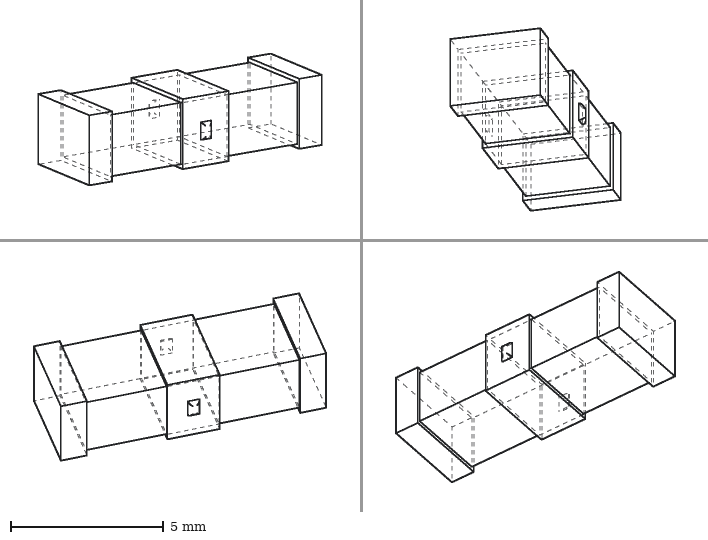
import cadquery as cq

total_length = 9.11
total_width = 3.4
outer_width = 3.11
outer_height = 2.4
core_width = 2.9
core_height = 2.1
cap_length = 0.89
band_length = 1.795
nub_length = 0.4
nub_height = 0.6

core_length = total_length - 2 * cap_length
cap_offset = (total_length - cap_length) / 2
nub_rounding = (total_width - outer_width) / 2


def make_core():
    """Plain rectangular bar between the two end caps."""
    return cq.Workplane("XY").box(core_width, core_length, core_height)


def make_end_cap(side):
    """Rectangular block against one end of the core; side is -1 or +1 along Y."""
    block = cq.Workplane("XY").box(outer_width, cap_length, outer_height)
    return block.translate((0, side * cap_offset, 0))


def make_band(core):
    """Sleeve around the middle of the core, with a rounded nub on each side."""
    block = cq.Workplane("XY").box(outer_width, band_length, outer_height)
    nub_bar = cq.Workplane("XY").box(total_width, nub_length, nub_height)
    nub_bar = nub_bar.faces("<X or >X").edges().fillet(nub_rounding)
    return block.union(nub_bar).cut(core)


core = make_core()
band = make_band(core)
end_caps = [make_end_cap(side) for side in (-1, 1)]

result = cq.Compound.makeCompound([core.val(), band.solids().val(), *[cap.val() for cap in end_caps]])